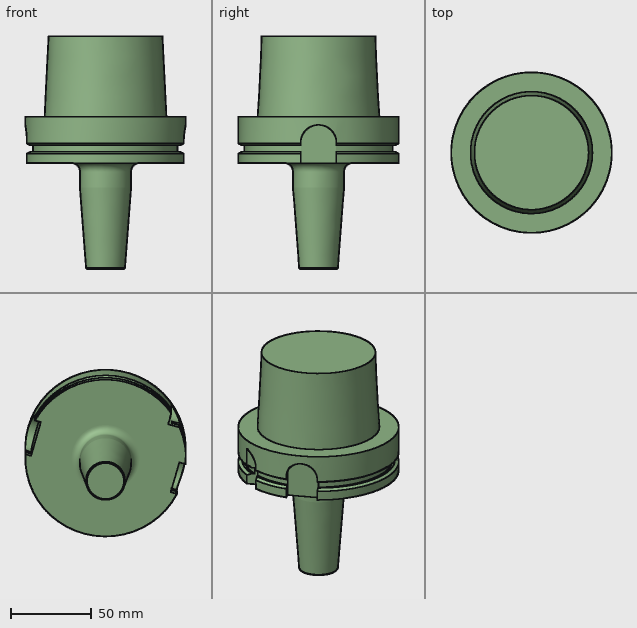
import cadquery as cq

total_height = 145.0
flange_top = 95.0
flange_bottom = 66.0
neck_bottom = 50.8

plug_base_radius = 38.0
plug_top_radius = 35.5

flange_radius = 50.0
groove_root_radius = 46.3
groove_floor_top = 77.0
groove_floor_bottom = 73.1
groove_chamfer_height = 1.3
groove_chamfer_width = 2.3

neck_radius = 16.02
neck_fillet = 5.1
tip_radius = 12.2
tip_chamfer = 0.7

slot_top = flange_top - 5.2
slot_floor = 45.0
narrow_slot_width = 19.7
wide_slot_width = 22.3
notch_offset = 41.2
notch_floor = 31.8


def make_plug():
    """Plain conical plug standing on the flange."""
    return (
        cq.Workplane("XZ")
        .moveTo(0, flange_top)
        .lineTo(plug_base_radius, flange_top)
        .lineTo(plug_top_radius, total_height)
        .lineTo(0, total_height)
        .close()
        .revolve(360, (0, 0, 0), (0, 1, 0))
    )


def make_turned_holder():
    """Flange with groove, filleted neck and tapered nose, turned about Z."""
    chamfer_radius = flange_radius - groove_chamfer_width
    return (
        cq.Workplane("XZ")
        .moveTo(0, 0)
        .lineTo(tip_radius - tip_chamfer, 0)
        .lineTo(tip_radius, tip_chamfer)
        .lineTo(neck_radius, neck_bottom)
        .lineTo(neck_radius, flange_bottom - neck_fillet)
        .radiusArc((neck_radius + neck_fillet, flange_bottom), neck_fillet)
        .lineTo(flange_radius, flange_bottom)
        .lineTo(flange_radius, groove_floor_bottom - groove_chamfer_height)
        .lineTo(chamfer_radius, groove_floor_bottom)
        .lineTo(groove_root_radius, groove_floor_bottom)
        .lineTo(groove_root_radius, groove_floor_top)
        .lineTo(chamfer_radius, groove_floor_top)
        .lineTo(flange_radius, groove_floor_top + groove_chamfer_height)
        .lineTo(flange_radius, flange_top)
        .lineTo(0, flange_top)
        .close()
        .revolve(360, (0, 0, 0), (0, 1, 0))
    )


def slot_cutter(width, y_center, floor, side):
    """Round-topped cutter along X from the slot floor outwards; side is +1 or -1."""
    half_width = width / 2
    arc_start = slot_top - half_width
    return (
        cq.Workplane("YZ", origin=(side * floor, 0, 0))
        .moveTo(y_center - half_width, flange_bottom)
        .lineTo(y_center - half_width, arc_start)
        .threePointArc((y_center, slot_top), (y_center + half_width, arc_start))
        .lineTo(y_center + half_width, flange_bottom)
        .close()
        .extrude(side * (flange_radius - floor))
    )


def make_holder():
    """Turned holder with two opposite drive slots and one orientation notch."""
    return (
        make_turned_holder()
        .cut(slot_cutter(narrow_slot_width, 0, slot_floor, -1))
        .cut(slot_cutter(wide_slot_width, 0, slot_floor, 1))
        .cut(slot_cutter(narrow_slot_width, notch_offset, notch_floor, -1))
    )


plug = make_plug()
holder = make_holder()

result = cq.Compound.makeCompound([plug.val(), holder.val()])